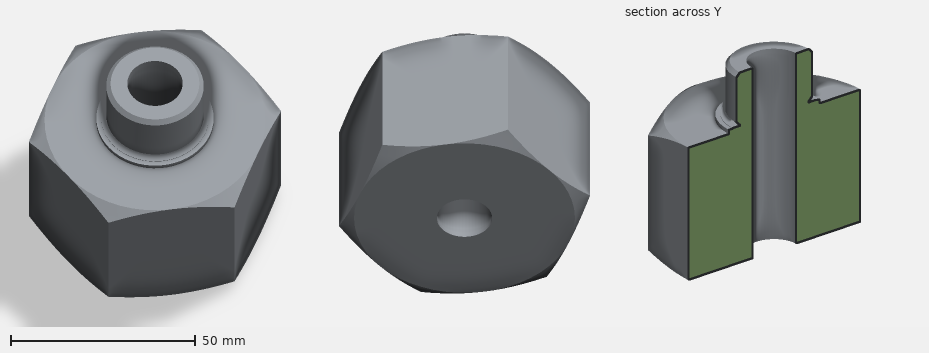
import cadquery as cq
import math

across_corners = 69.3
across_flats = across_corners * math.cos(math.radians(30))
hex_height = 39.7
corner_chamfer_angle = 30.0
cone_overrun = 0.7

collar_diameter = 31.9
collar_height = 1.25
raised_face_diameter = 29.2
raised_face_height = 0.15

total_height = 57.0
spigot_diameter = 26.45
spigot_end_diameter = 24.1
spigot_chamfer = (spigot_diameter - spigot_end_diameter) / 2
undercut_diameter = 23.9
undercut_chamfer = (spigot_diameter - undercut_diameter) / 2

bore_diameter = 15.0


def make_hex_body():
    """Hexagon with corners on Y, its corners turned off conically at both ends."""
    prism = (
        cq.Workplane("XY")
        .polygon(6, across_corners)
        .extrude(hex_height)
        .rotate((0, 0, 0), (0, 0, 1), 30)
    )
    flat_radius = across_flats / 2
    outer_radius = across_corners / 2 + cone_overrun
    drop = (outer_radius - flat_radius) * math.tan(math.radians(corner_chamfer_angle))
    envelope = (
        cq.Workplane("XZ")
        .polyline([
            (0, 0),
            (flat_radius, 0),
            (outer_radius, drop),
            (outer_radius, hex_height - drop),
            (flat_radius, hex_height),
            (0, hex_height),
        ])
        .close()
        .revolve(360, (0, 0, 0), (0, 1, 0))
    )
    return prism.intersect(envelope)


def make_collar_and_spigot():
    """Turned profile of the stepped collar, undercut and chamfered spigot."""
    collar_top = hex_height + collar_height
    raised_face_top = collar_top + raised_face_height
    undercut_radius = undercut_diameter / 2
    return (
        cq.Workplane("XZ")
        .polyline([
            (0, hex_height),
            (collar_diameter / 2, hex_height),
            (collar_diameter / 2, collar_top),
            (raised_face_diameter / 2, collar_top),
            (raised_face_diameter / 2, raised_face_top),
            (undercut_radius, raised_face_top),
            (spigot_diameter / 2, raised_face_top + undercut_chamfer),
            (spigot_diameter / 2, total_height - spigot_chamfer),
            (spigot_end_diameter / 2, total_height),
            (0, total_height),
        ])
        .close()
        .revolve(360, (0, 0, 0), (0, 1, 0))
    )


bore = cq.Workplane("XY").circle(bore_diameter / 2).extrude(total_height)

result = make_hex_body().union(make_collar_and_spigot()).cut(bore)